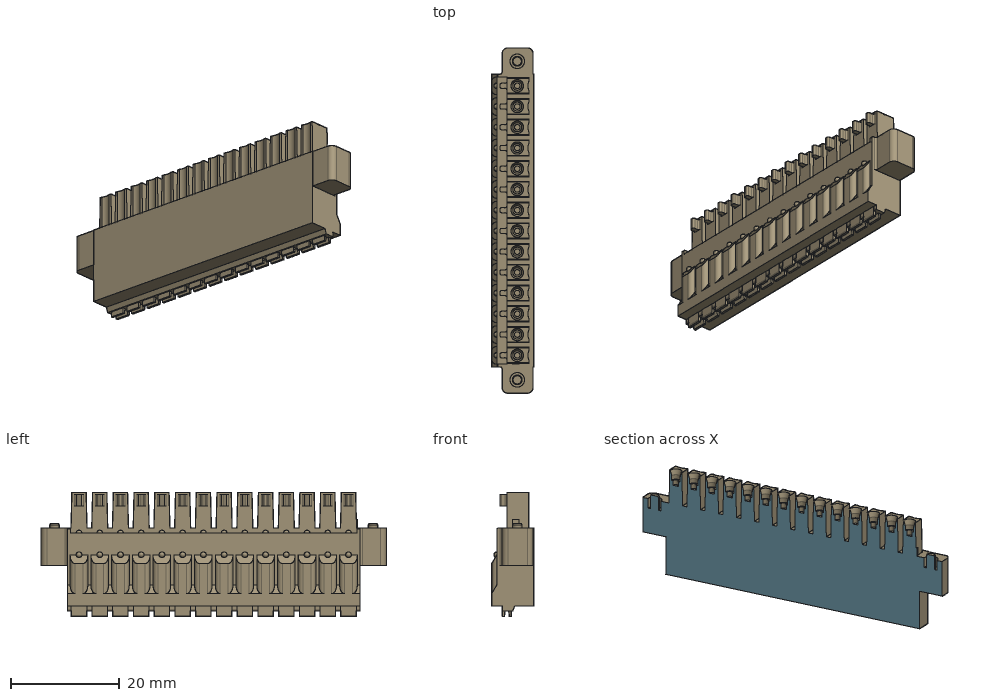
import cadquery as cq

POLE_COUNT = 14
POLE_PITCH = 3.8
pole_positions = [(i - (POLE_COUNT - 1) / 2) * POLE_PITCH for i in range(POLE_COUNT)]

LENGTH = 63.5
DEPTH = 7.75
HEIGHT = 22.9

BODY_LENGTH = 53.9
BODY_BOTTOM = 2.0
BODY_TOP = 16.3
FACE_X = 0.95
BASE_TOP = 4.25
BASE_SLOPE_TOP = 5.85
TOP_EDGE_CHAMFER = 0.2

LEDGE_Z = 15.4
END_WALL = 0.6
LEDGE_LENGTH = BODY_LENGTH - 2 * END_WALL

COLUMN_WIDTH = 3.25
COLUMN_RADIUS = 0.9
COLUMN_EDGE_Z = 9.8
COLUMN_TOP = 11.4

BALL_RADIUS = 0.54

TOWER_FACE_X = 2.8
TOWER_DEPTH = 4.05
TOWER_BASE_WIDTH = 3.0
TOWER_TOP_WIDTH = 2.7
TOWER_HOLE_RADIUS = 1.15
TOWER_CONE_DEPTH = 1.0
TOWER_BORE_RADIUS = 0.8
TOWER_BORE_DEPTH = 1.9
TOWER_SOCKET_RADIUS = 0.5
TOWER_SOCKET_DEPTH = 2.85
BACK_GROOVE_CHORD = 1.8
BACK_GROOVE_DEPTH = 0.2

FINGER_TIP_X = 1.5
FINGER_WIDTH = 0.95
FINGER_TIP_RADIUS = 0.3
FINGER_ROOT_RADIUS = 0.3
FINGER_BOTTOM = 20.3
FINGER_TOP = 22.5

RIB_START_X = 3.8
RIB_END_X = 5.0
RIB_TOP = 17.9
RIB_THICKNESS = 0.1

SCREW_X = 4.7
SCREW_RADIUS = 0.9
SCREW_TIP_RADIUS = 0.75
SCREW_TIP_HEIGHT = 0.25

FLANGE_START_X = 1.9
FLANGE_END_X = 7.6
FLANGE_BOTTOM = 9.4
FLANGE_RADIUS = 1.1
FLANGE_ROOT_RADIUS = 0.4
FLANGE_SCREW_Y = 29.3
FLANGE_HOLE_RADIUS = 1.35
FLANGE_HOLE_DEPTH = 1.9
FLANGE_SCREW_TOP = 17.15

FOOT_START_X = 1.9
RAIL_SETBACK = 0.05
EDGE_SLOPE_HEIGHT = 0.25
EDGE_SLOPE_DEPTH = 0.05
RAIL_BOTTOM = 1.0
RAIL_TOP_END_X = 4.25
RAIL_BOTTOM_END_X = 3.9
FOOT_END_X = 3.6
FOOT_WIDTH = 2.85
FOOT_SLOT_TOP = (2.5, 3.1)
FOOT_SLOT_BOTTOM = (2.35, 3.25)

JOIN_OVERLAP = 0.3


def side_profile(points, length):
    """Extrude an XZ outline along Y, centred on Y = 0."""
    return cq.Workplane("XZ").polyline(points).close().extrude(length / 2, both=True)


def box(x_range, y_range, z_range):
    size = [high - low for low, high in (x_range, y_range, z_range)]
    corner = (x_range[0], y_range[0], z_range[0])
    return cq.Workplane("XY").box(*size, centered=False).translate(corner)


def cylinder(x, y, bottom, top, radius):
    return cq.Workplane("XY", origin=(x, y, bottom)).circle(radius).extrude(top - bottom)


def revolved(profile, x, y):
    """Revolve a radius-height outline about a vertical axis through (x, y)."""
    solid = cq.Workplane("XZ").polyline(profile).close().revolve(360, (0, 0), (0, 1))
    return solid.translate((x, y, 0))


def make_housing():
    housing = side_profile(
        [
            (0, BODY_BOTTOM),
            (DEPTH, BODY_BOTTOM),
            (DEPTH, BODY_TOP),
            (FACE_X + TOP_EDGE_CHAMFER, BODY_TOP),
            (FACE_X, BODY_TOP - TOP_EDGE_CHAMFER),
            (FACE_X, BASE_SLOPE_TOP),
            (0, BASE_TOP),
        ],
        BODY_LENGTH,
    )
    half_ledge = LEDGE_LENGTH / 2
    ledge = box((0, TOWER_FACE_X), (-half_ledge, half_ledge), (LEDGE_Z, BODY_TOP))
    return housing.cut(ledge)


def make_foot_rail():
    rail_start = FOOT_START_X + RAIL_SETBACK
    return side_profile(
        [
            (rail_start, RAIL_BOTTOM + EDGE_SLOPE_HEIGHT),
            (rail_start + EDGE_SLOPE_DEPTH, RAIL_BOTTOM),
            (RAIL_BOTTOM_END_X, RAIL_BOTTOM),
            (RAIL_TOP_END_X, BODY_BOTTOM),
            (RAIL_TOP_END_X, BODY_BOTTOM + JOIN_OVERLAP),
            (rail_start, BODY_BOTTOM + JOIN_OVERLAP),
        ],
        BODY_LENGTH,
    )


def make_column():
    """Front column with rounded outer edges and a sloping top."""
    half_width = COLUMN_WIDTH / 2
    back_x = FACE_X + JOIN_OVERLAP
    column = (
        cq.Workplane("XY", origin=(0, 0, BODY_BOTTOM))
        .rect(2 * back_x, COLUMN_WIDTH)
        .extrude(COLUMN_TOP - BODY_BOTTOM)
        .intersect(box((0, back_x), (-half_width, half_width), (0, HEIGHT)))
        .edges("|Z and <X")
        .fillet(COLUMN_RADIUS)
    )
    sloping_top = side_profile(
        [(0, COLUMN_EDGE_Z), (FACE_X, COLUMN_TOP), (0, COLUMN_TOP)], COLUMN_WIDTH
    )
    return column.cut(sloping_top)


def make_ball(x, z):
    return cq.Workplane("XY").sphere(BALL_RADIUS).translate((x, 0, z))


def make_screw(x, y, bottom, top):
    """Screw with a coned tip."""
    cone_bottom = top - SCREW_TIP_HEIGHT
    profile = [
        (0, bottom),
        (SCREW_RADIUS, bottom),
        (SCREW_RADIUS, cone_bottom),
        (SCREW_TIP_RADIUS, top),
        (0, top),
    ]
    return revolved(profile, x, y)


def make_finger():
    """Coding finger with a rounded tip and flared root."""
    half_width = FINGER_WIDTH / 2
    root = half_width + FINGER_ROOT_RADIUS
    flare_x = TOWER_FACE_X - FINGER_ROOT_RADIUS
    tip_x = FINGER_TIP_X + FINGER_TIP_RADIUS
    tip_y = half_width - FINGER_TIP_RADIUS
    back_x = TOWER_FACE_X + JOIN_OVERLAP
    return (
        cq.Workplane("XY", origin=(0, 0, FINGER_BOTTOM))
        .moveTo(back_x, -root)
        .lineTo(TOWER_FACE_X, -root)
        .radiusArc((flare_x, -half_width), -FINGER_ROOT_RADIUS)
        .lineTo(tip_x, -half_width)
        .radiusArc((FINGER_TIP_X, -tip_y), FINGER_TIP_RADIUS)
        .lineTo(FINGER_TIP_X, tip_y)
        .radiusArc((tip_x, half_width), FINGER_TIP_RADIUS)
        .lineTo(flare_x, half_width)
        .radiusArc((TOWER_FACE_X, root), -FINGER_ROOT_RADIUS)
        .lineTo(back_x, root)
        .close()
        .extrude(FINGER_TOP - FINGER_BOTTOM)
    )


def make_tower_hole():
    """Cutter for the stepped screw hole: a coned mouth, a bore and a narrower socket."""
    bore_top = HEIGHT - TOWER_CONE_DEPTH
    bore_bottom = HEIGHT - TOWER_BORE_DEPTH
    socket_bottom = HEIGHT - TOWER_SOCKET_DEPTH
    profile = [
        (0, socket_bottom),
        (TOWER_SOCKET_RADIUS, socket_bottom),
        (TOWER_SOCKET_RADIUS, bore_bottom),
        (TOWER_BORE_RADIUS, bore_bottom),
        (TOWER_BORE_RADIUS, bore_top),
        (TOWER_HOLE_RADIUS, HEIGHT),
        (0, HEIGHT),
    ]
    return revolved(profile, SCREW_X, 0)


def make_tower():
    """Tapered tower with a screw hole, a coding finger and a shallow round groove at the back."""
    base_half = TOWER_BASE_WIDTH / 2
    top_half = TOWER_TOP_WIDTH / 2
    back_x = TOWER_FACE_X + TOWER_DEPTH
    tower = (
        cq.Workplane("YZ", origin=(TOWER_FACE_X, 0, 0))
        .polyline(
            [
                (-base_half, BODY_TOP),
                (base_half, BODY_TOP),
                (top_half, HEIGHT),
                (-top_half, HEIGHT),
            ]
        )
        .close()
        .extrude(TOWER_DEPTH)
    )
    half_chord = BACK_GROOVE_CHORD / 2
    groove = (
        cq.Workplane("XY", origin=(0, 0, BODY_TOP))
        .moveTo(back_x, -half_chord)
        .threePointArc((back_x - BACK_GROOVE_DEPTH, 0), (back_x, half_chord))
        .close()
        .extrude(HEIGHT - BODY_TOP)
    )
    return tower.cut(groove).cut(make_tower_hole()).union(make_finger())


def make_foot():
    """Pole foot, split into two prongs by a tapered slot."""
    outline = [
        (FOOT_START_X, EDGE_SLOPE_HEIGHT),
        (FOOT_START_X + EDGE_SLOPE_DEPTH, 0),
        (FOOT_SLOT_BOTTOM[0], 0),
        (FOOT_SLOT_TOP[0], RAIL_BOTTOM),
        (FOOT_SLOT_TOP[1], RAIL_BOTTOM),
        (FOOT_SLOT_BOTTOM[1], 0),
        (FOOT_END_X, 0),
        (FOOT_END_X, BODY_BOTTOM + JOIN_OVERLAP),
        (FOOT_START_X, BODY_BOTTOM + JOIN_OVERLAP),
    ]
    return side_profile(outline, FOOT_WIDTH)


def make_flange():
    """Screw flange at the +Y end, blended into the housing end by a concave root."""
    body_end = BODY_LENGTH / 2
    inner = body_end - JOIN_OVERLAP
    root_x = FLANGE_START_X - FLANGE_ROOT_RADIUS
    end_y = LENGTH / 2
    flange = (
        cq.Workplane("XY", origin=(0, 0, FLANGE_BOTTOM))
        .moveTo(root_x, inner)
        .lineTo(root_x, body_end)
        .radiusArc((FLANGE_START_X, body_end + FLANGE_ROOT_RADIUS), -FLANGE_ROOT_RADIUS)
        .lineTo(FLANGE_START_X, end_y - FLANGE_RADIUS)
        .radiusArc((FLANGE_START_X + FLANGE_RADIUS, end_y), FLANGE_RADIUS)
        .lineTo(FLANGE_END_X - FLANGE_RADIUS, end_y)
        .radiusArc((FLANGE_END_X, end_y - FLANGE_RADIUS), FLANGE_RADIUS)
        .lineTo(FLANGE_END_X, inner)
        .close()
        .extrude(BODY_TOP - FLANGE_BOTTOM)
    )
    hole_bottom = BODY_TOP - FLANGE_HOLE_DEPTH
    hole = cylinder(SCREW_X, FLANGE_SCREW_Y, hole_bottom, BODY_TOP, FLANGE_HOLE_RADIUS)
    screw = make_screw(SCREW_X, FLANGE_SCREW_Y, hole_bottom, FLANGE_SCREW_TOP)
    return flange.cut(hole).union(screw)


def make_end_rib():
    tower_side = pole_positions[0] - TOWER_BASE_WIDTH / 2
    y_range = (tower_side - RIB_THICKNESS, tower_side + JOIN_OVERLAP)
    return box((RIB_START_X, RIB_END_X), y_range, (BODY_TOP - JOIN_OVERLAP, RIB_TOP))


result = make_housing().union(make_foot_rail())

pole_parts = [
    make_tower(),
    make_column(),
    make_foot(),
    make_ball(FACE_X, COLUMN_TOP),
    make_ball(TOWER_FACE_X, LEDGE_Z),
]
for pole_y in pole_positions:
    for part in pole_parts:
        result = result.union(part.translate((0, pole_y, 0)))

flange = make_flange()
result = result.union(flange).union(flange.mirror("XZ")).union(make_end_rib())